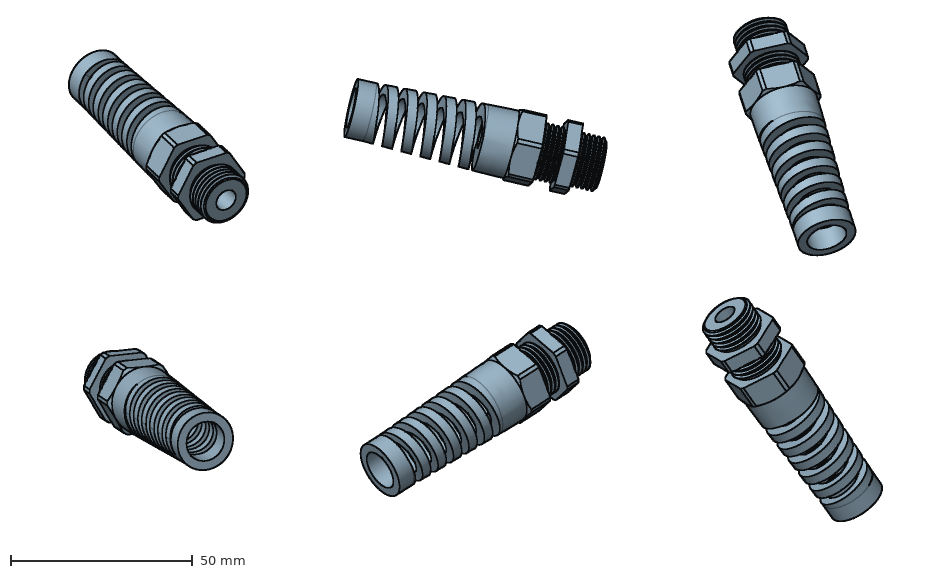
import cadquery as cq
import math

total_length = 70.9
collar_end = 5.0
coil_end = 36.5
dome_end = 45.2
cap_hex_end = 52.8
nut_start = 58.9
nut_end = 63.1

collar_radius = 8.2
coil_end_radius = 9.35
sleeve_bore_radius = 5.6
coil_pitch = 5.45
coil_gap = 2.55
gap_center_at_top = 5.6
radial_overcut = 0.7

across_flats = 19.05
across_corners = 21.3
dome_end_radius = across_flats / 2
dome_bulge = 0.035
hex_chamfer_angle = 30.0
cable_bore_radius = 3.1

thread_pitch = 1.4
thread_depth = 0.7
crest_width = 0.2
flank_width = 0.4
upper_thread_radius = 7.95
upper_first_crest = 54.0
upper_crest_count = 4
entry_thread_radius = 7.6
entry_first_crest = 64.3
entry_crest_count = 5
entry_chamfer = 0.35


def cylinder(start, end, radius):
    """Solid cylinder on the X axis."""
    return cq.Workplane("YZ", origin=(start, 0, 0)).circle(radius).extrude(end - start)


def revolve_on_axis(profile):
    """Turn an outline drawn as (x, radius) about the X axis."""
    return profile.close().revolve(360, (0, 0, 0), (1, 0, 0))


def coil_gap_cutter():
    """Right-handed helical ribbon that separates the turns of the spring."""
    inner = sleeve_bore_radius - radial_overcut
    outer = coil_end_radius + radial_overcut
    start = gap_center_at_top - coil_pitch
    turns = math.ceil((coil_end + coil_gap / 2 - start) / coil_pitch)
    helix = cq.Wire.makeHelix(coil_pitch, turns * coil_pitch, (inner + outer) / 2)
    section = (
        cq.Workplane("XZ", origin=((inner + outer) / 2, 0, 0))
        .rect(outer - inner, coil_gap)
    )
    ribbon = section.sweep(cq.Workplane(obj=helix), isFrenet=True)
    axis_swap = cq.Plane(origin=(start, 0, 0), xDir=(0, 0, 1), normal=(1, 0, 0))
    placed = cq.Workplane(obj=ribbon.val().moved(cq.Location(axis_swap)))
    return placed.intersect(cylinder(collar_end, coil_end, 2 * outer))


def spring():
    """Plain collar followed by a slightly flared tube cut into a coil."""
    collar = cylinder(0, collar_end, collar_radius).cut(cylinder(0, collar_end, sleeve_bore_radius))
    flared_tube = revolve_on_axis(
        cq.Workplane("XY")
        .moveTo(collar_end, sleeve_bore_radius)
        .lineTo(collar_end, collar_radius)
        .lineTo(coil_end, coil_end_radius)
        .lineTo(coil_end, sleeve_bore_radius)
    )
    coil = flared_tube.cut(coil_gap_cutter())
    return collar.union(coil)


def dome():
    """Gently bulged round body between the spring and the cap hexagon."""
    middle_radius = (coil_end_radius + dome_end_radius) / 2 + dome_bulge
    return revolve_on_axis(
        cq.Workplane("XY")
        .moveTo(coil_end, 0)
        .lineTo(coil_end, coil_end_radius)
        .threePointArc(((coil_end + dome_end) / 2, middle_radius), (dome_end, dome_end_radius))
        .lineTo(dome_end, 0)
    )


def hexagon(start, end):
    """Hexagon with flats on +/-Z and its corners turned down."""
    sharp_corners = across_flats / math.cos(math.radians(30))
    prism = (
        cq.Workplane("YZ", origin=(start, 0, 0))
        .polygon(6, sharp_corners)
        .extrude(end - start)
    )
    return prism.intersect(cylinder(start, end, across_corners / 2))


def cap_hexagon():
    """Cap hexagon with its corners chamfered towards the dome."""
    corner_radius = across_corners / 2
    chamfer_length = (corner_radius - dome_end_radius) * math.tan(math.radians(hex_chamfer_angle))
    envelope = revolve_on_axis(
        cq.Workplane("XY")
        .moveTo(dome_end, 0)
        .lineTo(dome_end, dome_end_radius)
        .lineTo(dome_end + chamfer_length, corner_radius)
        .lineTo(cap_hex_end, corner_radius)
        .lineTo(cap_hex_end, 0)
    )
    return hexagon(dome_end, cap_hex_end).intersect(envelope)


def thread(start, end, radius, first_crest, crest_count):
    """Root cylinder carrying evenly spaced V ridges."""
    root_radius = radius - thread_depth
    profile = cq.Workplane("XY").moveTo(start, 0).lineTo(start, root_radius)
    for i in range(crest_count):
        crest = first_crest + i * thread_pitch
        half_crest = crest_width / 2
        profile = (
            profile.lineTo(crest - half_crest - flank_width, root_radius)
            .lineTo(crest - half_crest, radius)
            .lineTo(crest + half_crest, radius)
            .lineTo(crest + half_crest + flank_width, root_radius)
        )
    return revolve_on_axis(profile.lineTo(end, root_radius).lineTo(end, 0))


upper_thread = thread(
    cap_hex_end, nut_start, upper_thread_radius, upper_first_crest, upper_crest_count
)
entry_thread = thread(
    nut_end, total_length, entry_thread_radius, entry_first_crest, entry_crest_count
).faces(">X").edges().chamfer(entry_chamfer)

body = (
    dome()
    .union(cap_hexagon())
    .union(upper_thread)
    .union(hexagon(nut_start, nut_end))
    .union(entry_thread)
    .cut(cylinder(coil_end, total_length, cable_bore_radius))
)

result = spring().union(body)